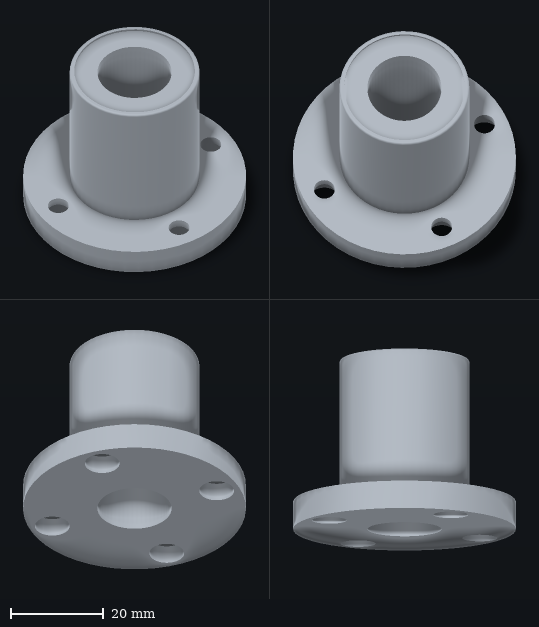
import cadquery as cq

flange_diameter = 48.0
flange_thickness = 6.0

sleeve_diameter = 28.0
total_height = 37.0
bore_diameter = 16.0

rim_radius = 0.5
rim_flat_width = 0.55
recess_diameter = sleeve_diameter - 2 * (rim_radius + rim_flat_width)
recess_depth = 0.5

hole_count = 4
hole_circle_diameter = 38.0
hole_diameter = 4.5
counterbore_diameter = 7.5
counterbore_depth = 4.2


def make_flange():
    return cq.Workplane("XY").circle(flange_diameter / 2).extrude(flange_thickness)


def make_sleeve():
    sleeve = cq.Workplane("XY").circle(sleeve_diameter / 2).extrude(total_height)
    sleeve = sleeve.faces(">Z").edges().fillet(rim_radius)
    recess = (
        cq.Workplane("XY", origin=(0, 0, total_height - recess_depth))
        .circle(recess_diameter / 2)
        .extrude(recess_depth)
    )
    return sleeve.cut(recess)


def make_bore():
    return cq.Workplane("XY").circle(bore_diameter / 2).extrude(total_height)


def make_screw_holes():
    positions = cq.Workplane("XY").polarArray(hole_circle_diameter / 2, 0, 360, hole_count)
    through_holes = positions.circle(hole_diameter / 2).extrude(flange_thickness)
    counterbores = positions.circle(counterbore_diameter / 2).extrude(counterbore_depth)
    return through_holes.union(counterbores)


result = make_flange().union(make_sleeve()).cut(make_bore()).cut(make_screw_holes())